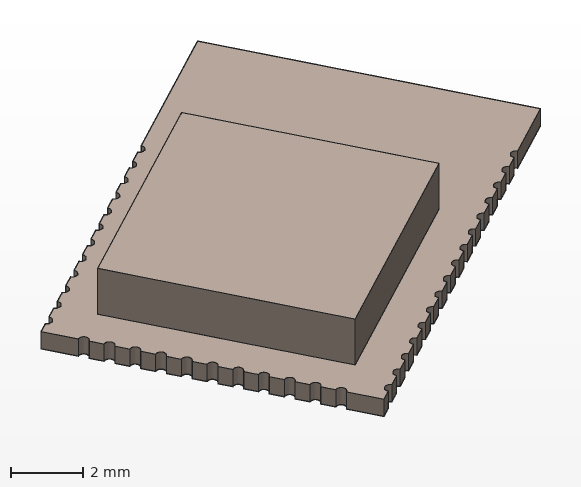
import cadquery as cq

BOARD_WIDTH = 10.0
BOARD_LENGTH = 14.0
TOTAL_HEIGHT = 2.2
BOARD_THICKNESS = 0.6
CAN_SIDE = 7.5
CAN_MARGIN = (BOARD_WIDTH - CAN_SIDE) / 2

NOTCH_RADIUS = 0.15
FRONT_NOTCHES = 11
LEFT_NOTCHES = 12
RIGHT_NOTCHES = 16
FRONT_ROW_LENGTH = 7.5
NOTCH_PITCH = FRONT_ROW_LENGTH / (FRONT_NOTCHES - 1)
SIDE_ROW_START = 0.55

RIGHT_EDGE = BOARD_WIDTH / 2
LEFT_EDGE = -RIGHT_EDGE
FRONT_EDGE = -BOARD_LENGTH / 2


def make_board():
    """Flat board, centred in X and Y, with its underside at Z = 0."""
    return cq.Workplane("XY").box(
        BOARD_WIDTH, BOARD_LENGTH, BOARD_THICKNESS, centered=(True, True, False)
    )


def make_can():
    """Square block on the board, close to the front edge."""
    return (
        cq.Workplane("XY")
        .workplane(offset=BOARD_THICKNESS)
        .center(0, FRONT_EDGE + CAN_MARGIN + CAN_SIDE / 2)
        .box(CAN_SIDE, CAN_SIDE, TOTAL_HEIGHT - BOARD_THICKNESS, centered=(True, True, False))
    )


def side_row(edge_x, count):
    """Notch centres along a side edge, counted from the front."""
    first_y = FRONT_EDGE + SIDE_ROW_START
    return [(edge_x, first_y + i * NOTCH_PITCH) for i in range(count)]


def front_row():
    """Notch centres along the front edge, centred on the board."""
    first_x = -FRONT_ROW_LENGTH / 2
    return [(first_x + i * NOTCH_PITCH, FRONT_EDGE) for i in range(FRONT_NOTCHES)]


def make_notches():
    """Cylinders through the board, centred on its edges."""
    centres = front_row() + side_row(LEFT_EDGE, LEFT_NOTCHES) + side_row(RIGHT_EDGE, RIGHT_NOTCHES)
    return cq.Workplane("XY").pushPoints(centres).circle(NOTCH_RADIUS).extrude(BOARD_THICKNESS)


result = make_board().cut(make_notches()).union(make_can())